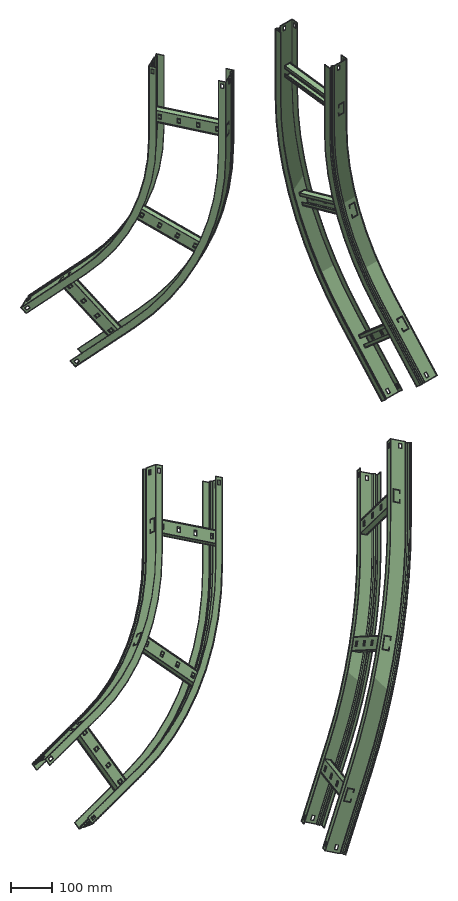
import cadquery as cq
import math


overall_height = 938.0
bend_angle = 45.0
bend_radius = 600.0
ladder_width = 200.0
outer_radius = bend_radius + ladder_width
bend_rad = math.radians(bend_angle)
straight_length = (overall_height - outer_radius * math.sin(bend_rad)) / (1 + math.cos(bend_rad))

rail_depth = 55.0
flange_width = 20.0
rail_sheet = 1.4
groove_depth = 4.0
groove_center = rail_depth - 10.0
groove_mouth = 10.0
groove_floor = 5.0

end_slot_inset = 14.0
end_slot_length = 12.0
end_slot_width = 7.5
web_slot_y = 26.0

rung_height = 36.0
rung_depth = 19.0
rung_front = 7.5
rung_sheet = 2.0
rung_lip = 9.0
rung_inset = 150.0
middle_rung_rise = 5.0
rung_slot_count = 4
rung_slot_pitch = 50.0
rung_slot_length = 13.0
rung_slot_width = 8.0


def turn(body, angle):
    """Rotate a body along the bend, from the upper straight towards the lower one."""
    return body.rotate((0, 0, 0), (0, 1, 0), angle)


def rail_section(web_radius, inward):
    """Channel outline in the XY plane; inward is the X direction from the web to the flange tips."""
    mouth = groove_mouth / 2
    floor = groove_floor / 2
    groove = [
        (0, groove_center - mouth),
        (groove_depth, groove_center - floor),
        (groove_depth, groove_center + floor),
        (0, groove_center + mouth),
    ]
    outside = [(flange_width, 0), (0, 0), *groove, (0, rail_depth), (flange_width, rail_depth)]
    inner_groove = [(depth + rail_sheet, y) for depth, y in reversed(groove)]
    inside = [
        (flange_width, rail_depth - rail_sheet),
        (rail_sheet, rail_depth - rail_sheet),
        *inner_groove,
        (rail_sheet, rail_sheet),
        (flange_width, rail_sheet),
    ]
    points = [(web_radius + inward * depth, y) for depth, y in outside + inside]
    return cq.Workplane("XY").polyline(points).close()


def end_slots(web_radius, inward):
    """Cutters for the slots in the web and the front flange at the top of a rail."""
    slot_z = straight_length - end_slot_inset
    web_slot = cq.Workplane("XY").box(4 * rail_sheet, end_slot_width, end_slot_length)
    flange_slot = cq.Workplane("XY").box(end_slot_width, 4 * rail_sheet, end_slot_length)
    flange_x = web_radius + inward * flange_width / 2
    return web_slot.translate((web_radius, web_slot_y, slot_z)).union(
        flange_slot.translate((flange_x, 0, slot_z))
    )


def side_rail(web_radius, inward):
    """One rail: upper straight, bend and lower straight, with slots at both ends."""
    upper = rail_section(web_radius, inward).extrude(straight_length)
    bend = rail_section(web_radius, inward).revolve(bend_angle, (0, 0, 0), (0, 1, 0))
    lower = turn(rail_section(web_radius, inward).extrude(-straight_length), bend_angle)
    upper_slots = end_slots(web_radius, inward)
    lower_slots = turn(upper_slots.mirror("XY"), bend_angle)
    return upper.union(bend).union(lower).clean().cut(upper_slots).cut(lower_slots)


def rung():
    """One rung along X, centred on Z = 0, longer than the gap between the webs."""
    length = ladder_width
    blank = cq.Workplane("XY").box(length, rung_depth, rung_height)
    hollow = cq.Workplane("XY").box(length, rung_depth - 2 * rung_sheet, rung_height - 2 * rung_sheet)
    opening = (
        cq.Workplane("XY")
        .box(length, rung_depth, rung_height - 2 * rung_lip)
        .translate((0, rung_depth / 2, 0))
    )
    slots = (
        cq.Workplane("XZ")
        .rarray(rung_slot_pitch, 9, rung_slot_count, 1)
        .rect(rung_slot_width, rung_slot_length)
        .extrude(rung_depth)
    )
    channel = blank.cut(hollow).cut(opening).cut(slots)
    center_x = bend_radius + ladder_width / 2
    return channel.translate((center_x, rung_front + rung_depth / 2, 0))


def straight_gap():
    """Space between flat webs."""
    return (
        cq.Workplane("XY")
        .box(ladder_width - 2 * rail_sheet, 2 * rail_depth, 2 * rung_height)
        .translate((bend_radius + ladder_width / 2, 0, 0))
    )


def curved_gap():
    """Space between the webs in the bend."""
    return (
        cq.Workplane("XZ")
        .circle(outer_radius - rail_sheet)
        .circle(bend_radius + rail_sheet)
        .extrude(rail_depth, both=True)
    )


inner_rail = side_rail(bend_radius, 1)
outer_rail = side_rail(outer_radius, -1)

straight_rung = rung().intersect(straight_gap())
middle_rung = rung().translate((0, 0, middle_rung_rise)).intersect(curved_gap())
rung_z = straight_length - rung_inset
rungs = [
    straight_rung.translate((0, 0, rung_z)),
    turn(middle_rung, bend_angle / 2),
    turn(straight_rung.translate((0, 0, -rung_z)), bend_angle),
]

result = cq.Compound.makeCompound(
    [inner_rail.val(), outer_rail.val(), *[body.val() for body in rungs]]
)